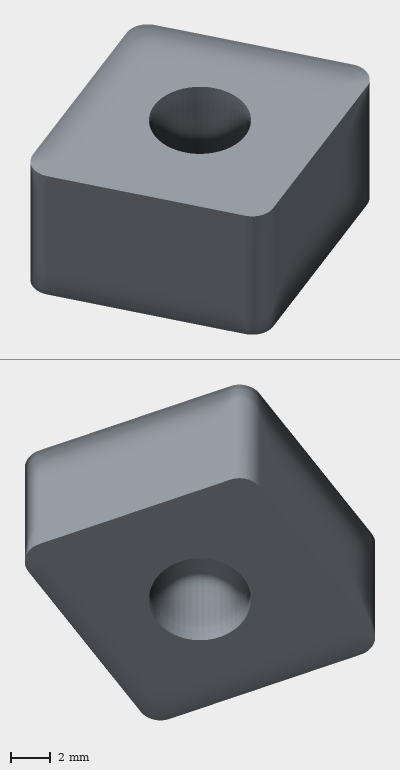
import cadquery as cq
import math

inscribed_circle = 12.7
thickness = 7.94
corner_radius = 1.19
hole_diameter = 5.16
acute_angle = math.radians(80)

side_length = inscribed_circle / math.sin(acute_angle)
half_height = inscribed_circle / 2
half_side = side_length / 2
half_lean = half_height / math.tan(acute_angle)


def diamond_body():
    """Prism on a rhombus centred on the Z axis, with its vertical edges rounded."""
    corners = [
        (-half_side - half_lean, -half_height),
        (half_side - half_lean, -half_height),
        (half_side + half_lean, half_height),
        (-half_side + half_lean, half_height),
    ]
    prism = cq.Workplane("XY").polyline(corners).close().extrude(thickness)
    return prism.edges("|Z").fillet(corner_radius)


def clamping_hole():
    """Cylinder through the full thickness at the centre of the diamond."""
    return cq.Workplane("XY").circle(hole_diameter / 2).extrude(thickness)


result = diamond_body().cut(clamping_hole())